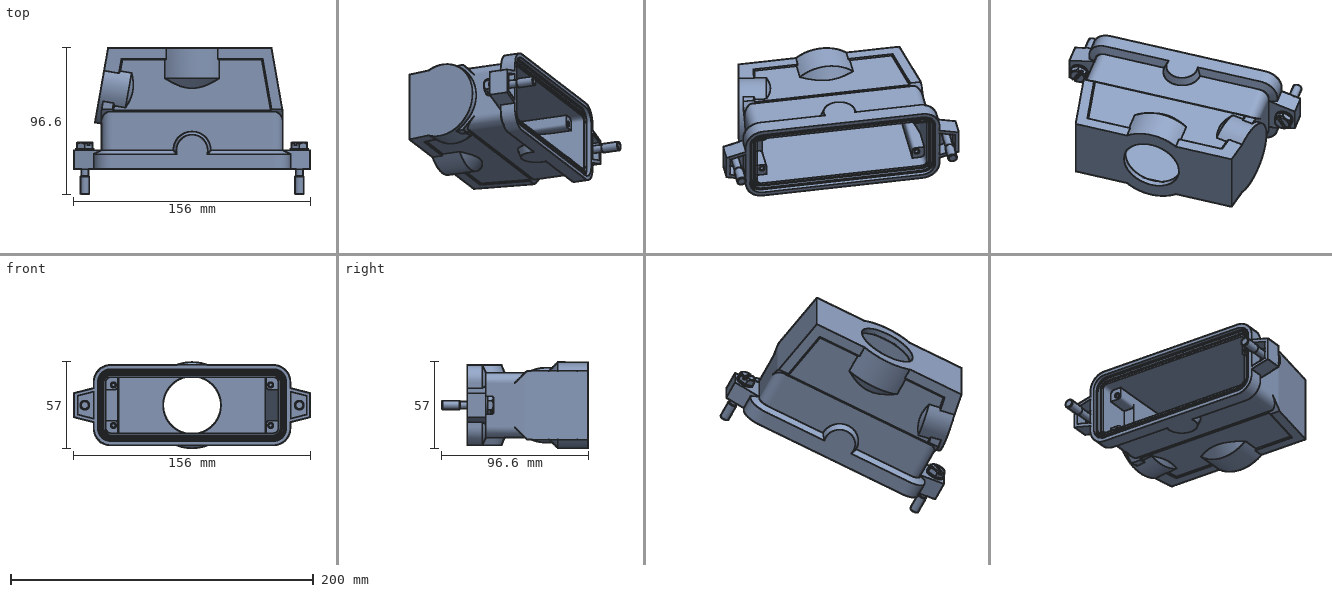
import cadquery as cq
import math


flange_half_x = 65.0
flange_half_z = 26.6
flange_corner = 11.5
flange_edge_y = 10.0
flange_top_y = 12.5

flange_slope_run = 5.1
body_half_x = flange_half_x - flange_slope_run
body_half_z = flange_half_z - flange_slope_run
body_corner = 7.0

hood_top_y = 80.0
hood_top_half_x = 52.5
hood_half_z = 22.7
taper = math.radians(10)
hood_shoulder_y = hood_top_y - (body_half_x - hood_top_half_x) / math.tan(taper)
hood_foot_y = 38.4
frame_width = 7.1
panel_half_z = 21.9

top_boss_radius = 27.5
top_boss_center_z = 1.0
top_boss_end_y = 60.0
side_boss_radius = 24.8
side_boss_center_y = 55.2
side_boss_length = 18.2
side_pad_thickness = 3.0
entry_diameter = 38.0

bump_base_radius = 12.4
bump_face_radius = 10.3

cavity_half_x = 56.9
cavity_half_z = 18.4
cavity_corner = 3.0
cavity_floor_y = 76.0
cavity_floor_half_x = 48.3
shelf_edge_x = 48.9
seat_inset = 2.8
seat_depth = 3.0
groove_outer_inset = 3.7
groove_inner_inset = 6.7
groove_depth = 0.5
bead_inset = 4.95
bead_radius = 0.75
post_inner_x = 48.9
post_inner_z = 10.2
post_end_y = 12.0
post_corner = 2.2
post_hole_x = 51.9
post_hole_z = 13.4
post_hole_diameter = 2.6
post_countersink_diameter = 3.6
post_hole_depth = 12.0

lug_end_x = 78.0
lug_end_half_z = 8.0
lug_root_half_z = 11.3
lug_pocket_end_x = 75.6
lug_pocket_end_half_z = 6.2
lug_pocket_root_half_z = 8.9
lug_pocket_depth = 10.0

screw_x = 70.8
screw_tip_y = -16.6
screw_thread_top_y = -4.5
screw_thread_diameter = 6.0
screw_thread_chamfer = 0.5
screw_neck_diameter = 5.0
washer_diameter = 11.7
washer_height = 1.1
head_top_y = 17.8
head_across_flats = 10.4
head_bevel = 1.2
head_slot_width = 1.6
head_slot_depth = 2.0
head_slot_angle = 120.0


def at_height(y):
    """Sketch plane at height y, with local axes X and Z; a negative extrusion goes toward +Y."""
    return cq.Workplane("XZ", origin=(0, y, 0))


def rounded_block(half_x, half_z, corner, y_low, y_high):
    block = at_height(y_low).rect(2 * half_x, 2 * half_z).extrude(y_low - y_high)
    return block.edges("|Y").fillet(corner)


def flange_inset(inset, y_low, y_high):
    """Block with the flange outline moved inward by the given inset."""
    return rounded_block(
        flange_half_x - inset, flange_half_z - inset, flange_corner - inset, y_low, y_high
    )


def cylinder(x, z, diameter, y_low, y_high):
    return at_height(y_low).center(x, z).circle(diameter / 2).extrude(y_low - y_high)


def with_mirror(shape, plane_name):
    return shape.union(shape.mirror(plane_name))


def extruded_outline(points, half_z):
    return cq.Workplane("XY").polyline(points).close().extrude(half_z, both=True)


def hood_half_x(y):
    """Half length of the tapered hood at height y."""
    return hood_top_half_x + (hood_top_y - y) * math.tan(taper)


def make_flange():
    base = flange_inset(0, 0, flange_edge_y)
    slope_height = flange_top_y - flange_edge_y
    slope_angle = math.degrees(math.atan2(flange_slope_run, slope_height))
    return base.faces(">Y").wires().toPending().workplane().extrude(slope_height, taper=slope_angle)


def make_body():
    return rounded_block(body_half_x, body_half_z, body_corner, 0, hood_shoulder_y)


def make_hood():
    foot_y = hood_foot_y - body_corner
    right_side = [
        (body_half_x, foot_y),
        (body_half_x, hood_shoulder_y),
        (hood_top_half_x, hood_top_y),
    ]
    left_side = [(-x, y) for x, y in reversed(right_side)]
    hood = extruded_outline(right_side + left_side, hood_half_z)

    foot_half_z = body_half_z - body_corner
    edge_rise = hood_half_z - foot_half_z
    underside = (
        cq.Workplane("YZ", origin=(-body_half_x, 0, 0))
        .moveTo(foot_y, foot_half_z)
        .lineTo(foot_y + edge_rise, hood_half_z)
        .lineTo(foot_y, hood_half_z)
        .close()
        .extrude(2 * body_half_x)
    )
    return hood.cut(with_mirror(underside, "XY"))


def make_panel_recess():
    """Recess in the +Z face, with 45 degree walls."""
    depth = hood_half_z - panel_half_z
    foot_y = hood_foot_y - body_corner

    def outline(step):
        top_y = hood_top_y - frame_width - step
        top_x = hood_half_x(top_y) - frame_width - step
        foot_x = hood_half_x(foot_y) - frame_width - step
        return [(-foot_x, foot_y), (-top_x, top_y), (top_x, top_y), (foot_x, foot_y)]

    floor = cq.Workplane("XY", origin=(0, 0, panel_half_z)).polyline(outline(depth)).close()
    return floor.workplane(offset=depth).polyline(outline(0)).close().loft(ruled=True)


def boss_with_cone_end(plane, radius, length):
    """Cylinder along the plane's local Y, ending in a 45 degree cone."""
    profile = [(0, 0), (radius, 0), (radius, length), (0, length + radius)]
    return cq.Workplane(plane).polyline(profile).close().revolve(360, (0, 0), (0, 1))


def make_top_bosses():
    center = (0, hood_top_y, top_boss_center_z)
    downward = cq.Plane(origin=center, xDir=(-1, 0, 0), normal=(0, 0, 1))
    boss = boss_with_cone_end(downward, top_boss_radius, hood_top_y - top_boss_end_y)
    return with_mirror(boss, "XY")


def make_side_boss():
    """Pad on the tapered -X end with a round boss square to that end."""
    center_y = side_boss_center_y
    hood_top = (-hood_top_half_x, hood_top_y)
    hood_center = (-hood_half_x(center_y), center_y)
    face_top = (hood_top[0] - side_pad_thickness, hood_top_y)
    face_center = (hood_center[0] - side_pad_thickness, center_y)
    pad = extruded_outline([hood_top, face_top, face_center, hood_center], hood_half_z)

    inward = cq.Plane(
        origin=(*face_center, 0),
        xDir=(-math.sin(taper), -math.cos(taper), 0),
        normal=(0, 0, 1),
    )
    return pad.union(boss_with_cone_end(inward, side_boss_radius, side_boss_length))


def make_bumps():
    """Tapered round bumps, flush with the flange on both long sides."""
    bump = (
        cq.Workplane("XY", origin=(0, flange_top_y, cavity_half_z))
        .circle(bump_base_radius)
        .extrude(body_half_z - cavity_half_z)
        .faces(">Z")
        .workplane()
        .circle(bump_base_radius)
        .workplane(offset=flange_half_z - body_half_z)
        .circle(bump_face_radius)
        .loft()
    )
    return with_mirror(bump, "XY")


def make_cavity():
    taper_start_y = cavity_floor_y - (cavity_half_x - cavity_floor_half_x) / math.tan(taper)
    mouth = rounded_block(cavity_half_x, cavity_half_z, cavity_corner, 0, taper_start_y)
    tapered = extruded_outline(
        [
            (-cavity_half_x, taper_start_y),
            (-cavity_floor_half_x, cavity_floor_y),
            (cavity_floor_half_x, cavity_floor_y),
            (cavity_half_x, taper_start_y),
        ],
        cavity_half_z,
    )
    shelf_wall = extruded_outline(
        [
            (-cavity_half_x, taper_start_y),
            (-cavity_half_x, cavity_floor_y),
            (-cavity_floor_half_x, cavity_floor_y),
            (-shelf_edge_x, taper_start_y),
        ],
        cavity_half_z,
    )
    seat = flange_inset(seat_inset, 0, seat_depth)
    entry = cylinder(0, 0, entry_diameter, cavity_floor_y, hood_top_y)
    return mouth.union(tapered.cut(shelf_wall)).union(seat).union(entry)


def make_seal_groove():
    """Shallow groove around the seat floor, its inner wall sloping at 45 degrees."""
    floor_y = seat_depth + groove_depth
    groove = flange_inset(groove_outer_inset, seat_depth, floor_y)
    island = flange_inset(groove_inner_inset - groove_depth, seat_depth, floor_y + groove_depth)
    return groove.cut(island.faces("<Y").chamfer(groove_depth))


def make_seal_bead():
    """Round seal bead lying in the groove."""
    path = flange_inset(bead_inset, seat_depth, seat_depth + groove_depth).faces("<Y").wires()
    start = (0, seat_depth, flange_half_z - bead_inset)
    section = cq.Workplane("YZ", origin=start).circle(bead_radius)
    return section.sweep(path)


def make_post():
    """Contact-frame post in the +X +Z corner of the cavity."""
    width = body_half_x - post_inner_x
    height = body_half_z - post_inner_z
    post = (
        at_height(post_end_y)
        .center(post_inner_x + width / 2, post_inner_z + height / 2)
        .rect(width, height)
        .extrude(post_end_y - cavity_floor_y)
    )
    hole = cylinder(
        post_hole_x, post_hole_z, post_hole_diameter, post_end_y, post_end_y + post_hole_depth
    )
    countersink = (post_countersink_diameter - post_hole_diameter) / 2
    post = post.cut(hole).faces("<Y").edges("%CIRCLE").chamfer(countersink)
    return post.edges("|Y and <X and <Z").fillet(post_corner)


def make_lug():
    """Screw lug on the +X end, narrowing outward from the lower body."""
    side_slope = (lug_root_half_z - lug_end_half_z) / (lug_end_x - flange_half_x)
    inner_x = body_half_x
    inner_half_z = lug_end_half_z + side_slope * (lug_end_x - inner_x)
    upper = [(inner_x, inner_half_z), (lug_end_x, lug_end_half_z)]
    lower = [(x, -z) for x, z in reversed(upper)]
    return at_height(0).polyline(upper + lower).close().extrude(-flange_top_y)


def make_lug_pocket():
    upper = [
        (flange_half_x, lug_pocket_root_half_z),
        (lug_pocket_end_x, lug_pocket_end_half_z),
    ]
    lower = [(x, -z) for x, z in reversed(upper)]
    return at_height(0).polyline(upper + lower).close().extrude(-lug_pocket_depth)


def make_screw():
    """Captive screw of the +X lug with a slotted hexagon head and a washer."""
    washer_top_y = flange_top_y + washer_height
    thread = cylinder(screw_x, 0, screw_thread_diameter, screw_tip_y, screw_thread_top_y)
    thread = thread.edges().chamfer(screw_thread_chamfer)
    neck = cylinder(screw_x, 0, screw_neck_diameter, screw_thread_top_y, flange_top_y)
    washer = cylinder(screw_x, 0, washer_diameter, flange_top_y, washer_top_y)

    across_corners = head_across_flats / math.cos(math.pi / 6)
    head = (
        at_height(washer_top_y)
        .center(screw_x, 0)
        .transformed(rotate=(0, 0, 90))
        .polygon(6, across_corners)
        .extrude(washer_top_y - head_top_y)
    )
    beveled = cylinder(screw_x, 0, across_corners, washer_top_y, head_top_y)
    head = head.intersect(beveled.faces(">Y").chamfer(head_bevel))
    slot = (
        at_height(head_top_y - head_slot_depth)
        .center(screw_x, 0)
        .transformed(rotate=(0, 0, head_slot_angle))
        .rect(2 * across_corners, head_slot_width)
        .extrude(-head_slot_depth)
    )
    return thread.union(neck).union(washer).union(head.cut(slot))


hood = make_hood().cut(with_mirror(make_panel_recess(), "XY"))
shell = make_flange().union(make_body()).union(hood)
shell = shell.union(make_top_bosses()).union(make_side_boss()).union(make_bumps())
shell = shell.union(with_mirror(make_lug(), "YZ"))

posts = with_mirror(with_mirror(make_post(), "YZ"), "XY")
shell = shell.cut(make_cavity().cut(posts))
shell = shell.cut(make_seal_groove()).union(make_seal_bead())
shell = shell.cut(with_mirror(make_lug_pocket(), "YZ"))

result = shell.union(with_mirror(make_screw(), "YZ"))